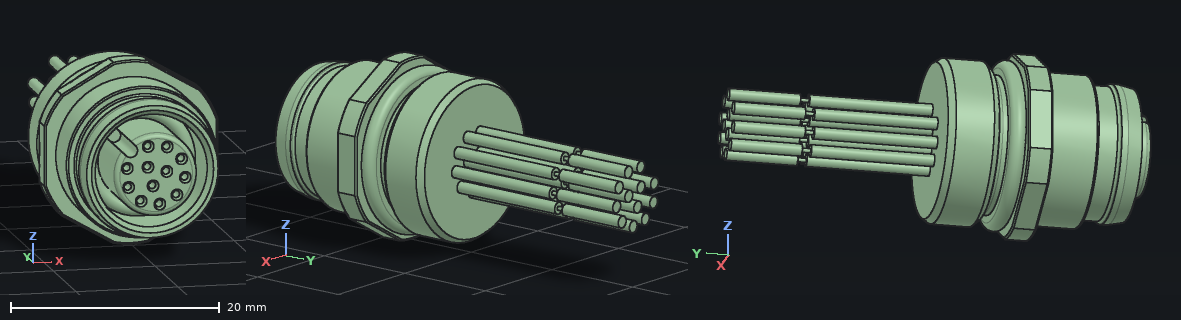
import cadquery as cq
import math


mating_rim_y = 1.5
rim_taper_y = 3.0
rim_back_y = 3.6
neck_front_y = 3.95
thread_front_y = 5.97
nut_front_y = 10.8
nut_back_y = 13.2
shoulder_front_y = 15.8
collar_front_y = 16.45
collar_chamfer_y = 20.2
collar_back_y = 20.9
strip_front_y = 33.0
strip_back_y = 33.9
wire_end_y = 40.9

mating_rim_diameter = 12.92
rim_diameter = 13.55
rim_chamfer_length = 0.12
neck_diameter = 13.0
neck_step_diameter = 13.4
neck_root_length = 0.12
thread_nose_diameter = 14.48
thread_diameter = 14.8
thread_chamfer_length = 0.2
seal_groove_diameter = 13.5
shoulder_fillet_radius = 0.45
collar_front_diameter = 14.8
collar_diameter = 16.0
collar_back_diameter = 15.1

mouth_diameter = 12.0
bore_diameter = 11.0
mouth_back_y = 2.1
bore_floor_y = 7.35

nut_across_flats = 17.0
nut_corner_diameter = 18.0
nut_chamfer = 0.15
outer_seal_diameter = 16.5
outer_seal_back_y = 14.8

insert_diameter = 8.1
insert_tip_radius = 0.5
key_groove_angle = 135.0
key_groove_width = 1.3
key_groove_radius = 3.48

outer_contact_count = 9
outer_contact_radius = 2.9
outer_contact_pitch = 37.5
inner_contact_count = 3
inner_contact_radius = 1.1
contact_mouth_diameter = 1.1
contact_hole_diameter = 0.7
contact_hole_depth = 2.45
contact_mouth_depth = 0.4
wire_diameter = 1.2
conductor_diameter = 0.4


def cylinder(diameter, start_y, end_y, x=0.0, z=0.0):
    """Cylinder along Y between two positions."""
    return cq.Workplane("XZ", origin=(x, start_y, z)).circle(diameter / 2).extrude(start_y - end_y)


def cone(start_diameter, end_diameter, start_y, end_y, x=0.0, z=0.0):
    """Truncated cone along Y between two positions."""
    solid = cq.Solid.makeCone(
        start_diameter / 2, end_diameter / 2, end_y - start_y, cq.Vector(x, start_y, z), cq.Vector(0, 1, 0)
    )
    return cq.Workplane(solid)


def ring(outer_diameter, thickness, center_y):
    """Round sealing ring around the Y axis."""
    section_radius = thickness / 2
    solid = cq.Solid.makeTorus(
        outer_diameter / 2 - section_radius, section_radius, cq.Vector(0, center_y, 0), cq.Vector(0, 1, 0)
    )
    return cq.Workplane(solid)


def flat_sided_ring(inner_diameter, outer_diameter, start_y, end_y):
    """Sealing ring with flat sides and a half-round outer edge."""
    inner_radius = inner_diameter / 2
    outer_radius = outer_diameter / 2
    edge_radius = (end_y - start_y) / 2
    profile = (
        cq.Workplane("XY")
        .moveTo(inner_radius, start_y)
        .lineTo(outer_radius - edge_radius, start_y)
        .threePointArc((outer_radius, start_y + edge_radius), (outer_radius - edge_radius, end_y))
        .lineTo(inner_radius, end_y)
        .close()
    )
    return profile.revolve(360, (0, 0, 0), (0, 1, 0))


def polar_point(radius, angle):
    """Point (x, z) on a circle around the connector axis."""
    return radius * math.cos(math.radians(angle)), radius * math.sin(math.radians(angle))


def contact_points():
    """Contact centres: an outer arc that leaves room for the key, and an inner triangle."""
    arc_start = key_groove_angle + (360 - outer_contact_pitch * (outer_contact_count - 1)) / 2
    outer = [
        polar_point(outer_contact_radius, arc_start + i * outer_contact_pitch)
        for i in range(outer_contact_count)
    ]
    inner = [
        polar_point(inner_contact_radius, key_groove_angle + i * 360 / inner_contact_count)
        for i in range(inner_contact_count)
    ]
    return outer + inner


def make_housing():
    """Turned housing with the open socket at the mating end."""
    neck_radius = neck_diameter / 2
    rim_radius = rim_diameter / 2
    groove_radius = seal_groove_diameter / 2
    thread_radius = thread_diameter / 2
    collar_radius = collar_diameter / 2
    profile = (
        cq.Workplane("XY")
        .moveTo(0, bore_floor_y)
        .lineTo(bore_diameter / 2, bore_floor_y)
        .lineTo(bore_diameter / 2, mouth_back_y)
        .lineTo(mouth_diameter / 2, mating_rim_y)
        .lineTo(mating_rim_diameter / 2, mating_rim_y)
        .lineTo(rim_radius, rim_taper_y)
        .lineTo(rim_radius, rim_back_y)
        .lineTo(neck_step_diameter / 2, rim_back_y + rim_chamfer_length)
        .lineTo(neck_radius, neck_front_y)
        .lineTo(neck_radius, thread_front_y - neck_root_length)
        .lineTo(neck_step_diameter / 2, thread_front_y)
        .lineTo(thread_nose_diameter / 2, thread_front_y)
        .lineTo(thread_radius, thread_front_y + thread_chamfer_length)
        .lineTo(thread_radius, nut_back_y)
        .lineTo(groove_radius, nut_back_y)
        .lineTo(groove_radius, shoulder_front_y - shoulder_fillet_radius)
        .radiusArc((groove_radius + shoulder_fillet_radius, shoulder_front_y), shoulder_fillet_radius)
        .lineTo(collar_front_diameter / 2, shoulder_front_y)
        .lineTo(collar_radius, collar_front_y)
        .lineTo(collar_radius, collar_chamfer_y)
        .lineTo(collar_back_diameter / 2, collar_back_y)
        .lineTo(0, collar_back_y)
        .close()
    )
    return profile.revolve(360, (0, 0, 0), (0, 1, 0))


def make_nut():
    """Hexagonal nut with flats facing +X and -X and turned-down corners."""
    hexagon = (
        cq.Workplane("XZ", origin=(0, nut_front_y, 0))
        .polygon(6, nut_across_flats, circumscribed=True)
        .extrude(nut_front_y - nut_back_y)
    )
    blank = hexagon.intersect(cylinder(nut_corner_diameter, nut_front_y, nut_back_y))
    return blank.faces("<Y or >Y").edges().chamfer(nut_chamfer)


def make_insert():
    """Contact insert with a rounded tip, a key groove and a socket for each contact."""
    insert = cylinder(insert_diameter, 0, bore_floor_y).faces("<Y").edges().fillet(insert_tip_radius)
    key_x, key_z = polar_point(key_groove_radius, key_groove_angle)
    groove = cylinder(key_groove_width, 0, bore_floor_y, key_x, key_z)
    groove_opening = (
        cq.Workplane("XZ")
        .transformed(rotate=(0, 0, key_groove_angle))
        .center(key_groove_radius + key_groove_width / 2, 0)
        .rect(key_groove_width, key_groove_width)
        .extrude(-bore_floor_y)
    )
    insert = insert.cut(groove).cut(groove_opening)
    for x, z in contact_points():
        mouth = cone(contact_mouth_diameter, contact_hole_diameter, 0, contact_mouth_depth, x, z)
        hole = cylinder(contact_hole_diameter, 0, contact_hole_depth, x, z)
        insert = insert.cut(mouth).cut(hole)
    return insert


def make_wire(x, z):
    """Insulated wire whose conductor is bare over a short length."""
    front = cylinder(wire_diameter, collar_back_y, strip_front_y, x, z)
    bare = cylinder(conductor_diameter, strip_front_y, strip_back_y, x, z)
    back = cylinder(wire_diameter, strip_back_y, wire_end_y, x, z)
    return front.union(bare).union(back)


inner_seal_thickness = (bore_diameter - insert_diameter) / 2
inner_seal = ring(bore_diameter, inner_seal_thickness, bore_floor_y)
outer_seal = flat_sided_ring(seal_groove_diameter, outer_seal_diameter, nut_back_y, outer_seal_back_y)

result = make_housing().union(make_nut()).union(outer_seal).union(inner_seal).union(make_insert())
for wire_x, wire_z in contact_points():
    result = result.union(make_wire(wire_x, wire_z))